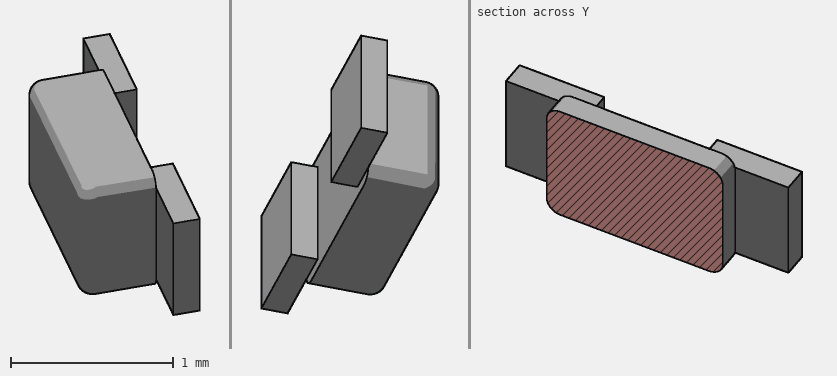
import cadquery as cq

overall_length = 2.0
overall_depth = 0.65

body_length = 1.25
body_height = 0.85
body_fillet = 0.1

lead_length = 0.6
lead_thickness = 0.17
lead_height = 0.7

body_depth = overall_depth - lead_thickness
lead_center_x = (overall_length - lead_length) / 2


def make_body():
    """Block in front of Y = 0, rounded everywhere except around its flat +Y face."""
    block = cq.Workplane("XY").box(body_length, body_depth, body_height)
    block = block.translate((0, -body_depth / 2, 0))
    return block.edges("|Y or <Y").fillet(body_fillet)


def make_lead(side):
    """Flat plate behind Y = 0; side is -1 for the -X end and +1 for the +X end."""
    plate = cq.Workplane("XY").box(lead_length, lead_thickness, lead_height)
    return plate.translate((side * lead_center_x, lead_thickness / 2, 0))


result = make_body()
for side in (-1, 1):
    result = result.union(make_lead(side))